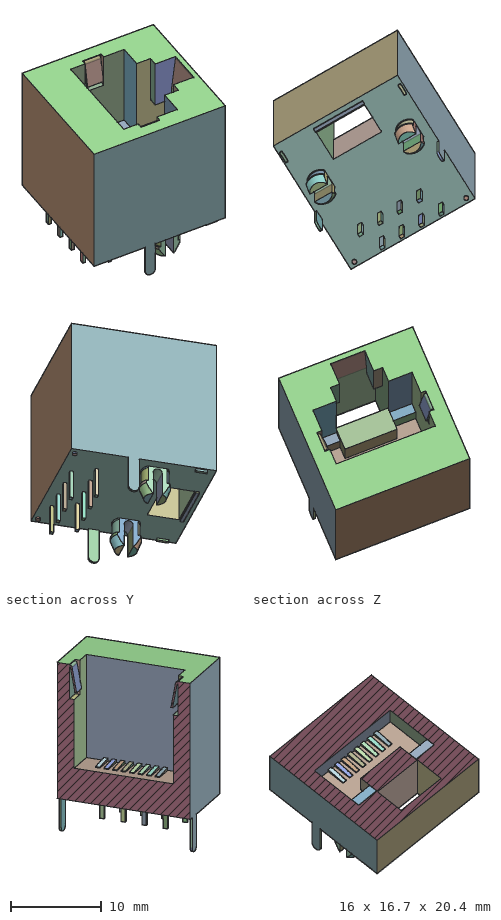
import cadquery as cq

WIDTH = 16.0
DEPTH = 16.7
HEIGHT = 16.24
TOTAL_HEIGHT = 20.45

CAVITY_WIDTH = 11.82
CAVITY_FRONT = -3.37
CAVITY_BACK = 3.44
CAVITY_DEPTH = 12.27
LEDGE_FRONT = 2.35
LEDGE_DEPTH = 10.22

CHANNEL_WIDTH = 6.22
CHANNEL_FRONT = 3.62
CHANNEL_BACK = 7.25
NECK_WIDTH = 4.07
NECK_FRONT = 5.17
NECK_DEPTH = 5.93
STOP_FRONT = 0.95
STOP_DEPTH = 9.2

LEAD_IN_BACK = 7.75
LEAD_IN_LIP = 0.2
LEAD_IN_DEPTH = 4.34

PIN_COUNT = 8
CONTACT_WIDTH = 0.51
CONTACT_PITCH = 1.02
CONTACT_LENGTH = 2.33
CONTACT_TIP_HEIGHT = 0.1
CONTACT_RISE = 0.22

NOTCH_SPAN = 12.97
NOTCH_FRONT = -1.53
NOTCH_BACK = 0.84
NOTCH_DEPTH = 4.1
SPRING_FRONT = -1.37
SPRING_BACK = 0.63
SPRING_TIP_SPAN = 11.25
SPRING_DROP = 0.08
SPRING_SHOULDER = 0.27
SPRING_LENGTH = 3.27
SPRING_BEND = 0.3
SHEET = 0.27

PIN_WIDTH = 0.51
PIN_THICKNESS = 0.37
PIN_LENGTH = 3.4
PIN_PITCH = 1.27
PIN_ROWS = (-7.0, -4.44)

LEG_WIDTH = 1.25
LEG_Y = -1.17
LEG_LENGTH = TOTAL_HEIGHT - HEIGHT

PEG_X = 5.7
PEG_Y = 1.92
PEG_FLATS = 2.25
PEG_LENGTH = 3.45
SHAFT_RADIUS = 1.55
ROOT_FLARE = 0.06
ROOT_HEIGHT = 0.16
BARB_RADIUS = 1.74
TIP_RADIUS = 1.25
BARB_START = 1.85
CONE_START = 2.19
PEG_SLOT = 1.02
PEG_SLOT_TOP = 0.18

FOOT_X = 7.2
FOOT_Y = -7.75
FOOT_RADIUS = 0.27
FOOT_HEIGHT = 0.2
TAB_X = 7.63
TAB_WIDTH = 0.33
TAB_FRONT = 6.03
TAB_BACK = 7.38
TAB_HEIGHT = 0.27
STRIP_LENGTH = 6.34
STRIP_BACK = 7.81
STRIP_HEIGHT = 0.18

OVERLAP = 0.1


def block(width, y_front, y_back, z_low, z_high, x_center=0.0):
    """Axis-aligned box given by its width and its Y and Z limits."""
    return (
        cq.Workplane("XY")
        .box(width, y_back - y_front, z_high - z_low, centered=(True, False, False))
        .translate((x_center, y_front, z_low))
    )


def from_top(width, y_front, y_back, depth):
    """Box sunk from the top face to the given depth."""
    return block(width, y_front, y_back, HEIGHT - depth, HEIGHT)


def both_sides(solid):
    return solid.union(solid.mirror("YZ"))


def extrude_along_x(outline, width):
    return outline.extrude(width / 2, both=True)


def housing():
    body = block(WIDTH, -DEPTH / 2, DEPTH / 2, 0, HEIGHT)
    body = body.cut(from_top(CAVITY_WIDTH, CAVITY_FRONT, LEDGE_FRONT, CAVITY_DEPTH))
    body = body.cut(from_top(CAVITY_WIDTH, CAVITY_FRONT, CAVITY_BACK, LEDGE_DEPTH))
    return body.cut(latch_channel()).union(latch_stop())


def latch_channel():
    wide = block(CHANNEL_WIDTH, CAVITY_FRONT, NECK_FRONT, HEIGHT - STOP_DEPTH, HEIGHT)
    through = block(CHANNEL_WIDTH, CHANNEL_FRONT, NECK_FRONT, 0, HEIGHT)
    below_neck = block(CHANNEL_WIDTH, CHANNEL_FRONT, CHANNEL_BACK, 0, HEIGHT - NECK_DEPTH)
    neck = from_top(NECK_WIDTH, CHANNEL_FRONT, CHANNEL_BACK, NECK_DEPTH)
    lead_in = extrude_along_x(
        cq.Workplane("YZ").polyline([
            (CHANNEL_BACK, HEIGHT),
            (LEAD_IN_BACK, HEIGHT),
            (LEAD_IN_BACK, HEIGHT - LEAD_IN_LIP),
            (CHANNEL_BACK, HEIGHT - LEAD_IN_DEPTH),
        ]).close(),
        NECK_WIDTH,
    )
    return wide.union(through).union(below_neck).union(neck).union(lead_in)


def latch_stop():
    """Block between the cavity and the channel that stops the plug."""
    return block(CHANNEL_WIDTH, STOP_FRONT, CHANNEL_FRONT, 0, HEIGHT - STOP_DEPTH)


def contacts():
    floor = HEIGHT - CAVITY_DEPTH
    profile = cq.Workplane("YZ").polyline([
        (CAVITY_FRONT - OVERLAP, floor - OVERLAP),
        (CAVITY_FRONT + CONTACT_LENGTH, floor - OVERLAP),
        (CAVITY_FRONT + CONTACT_LENGTH, floor + CONTACT_TIP_HEIGHT),
        (CAVITY_FRONT, floor + CONTACT_TIP_HEIGHT + CONTACT_RISE),
        (CAVITY_FRONT - OVERLAP, floor + CONTACT_TIP_HEIGHT + CONTACT_RISE),
    ]).close()
    contact = extrude_along_x(profile, CONTACT_WIDTH)
    group = cq.Workplane("XY")
    for index in range(PIN_COUNT):
        x = (index - (PIN_COUNT - 1) / 2) * CONTACT_PITCH
        group = group.union(contact.translate((x, 0, 0)))
    return group


def spring():
    """Sheet tongue that leaves the notch wall and slopes down into the cavity."""
    wall = NOTCH_SPAN / 2
    tip = SPRING_TIP_SPAN / 2
    top = HEIGHT - SPRING_DROP
    bottom = HEIGHT - SPRING_LENGTH
    shoulder = wall - SPRING_SHOULDER
    slope = (top - bottom) / (shoulder - tip)
    back_top = top - SHEET
    back_shoulder = tip + SHEET + (back_top - bottom) / slope
    bend_point = (shoulder, (SPRING_FRONT + SPRING_BACK) / 2, top)
    return (
        cq.Workplane("XZ", origin=(0, SPRING_BACK, 0))
        .polyline([
            (wall + OVERLAP, top),
            (shoulder, top),
            (tip, bottom),
            (tip + SHEET, bottom),
            (back_shoulder, back_top),
            (wall + OVERLAP, back_top),
        ])
        .close()
        .extrude(SPRING_BACK - SPRING_FRONT)
        .edges(cq.selectors.NearestToPointSelector(bend_point))
        .fillet(SPRING_BEND)
    )


def solder_pins():
    group = cq.Workplane("XY")
    for index in range(PIN_COUNT):
        x = (index - (PIN_COUNT - 1) / 2) * PIN_PITCH
        y = PIN_ROWS[index % 2]
        pin = block(
            PIN_WIDTH, y - PIN_THICKNESS / 2, y + PIN_THICKNESS / 2, -PIN_LENGTH, OVERLAP, x
        )
        group = group.union(pin)
    return group


def shield_leg():
    """Flat leg, flush with the side wall, with a round end."""
    radius = LEG_WIDTH / 2
    return (
        cq.Workplane("YZ", origin=(WIDTH / 2 - SHEET, 0, 0))
        .moveTo(LEG_Y - radius, OVERLAP)
        .lineTo(LEG_Y - radius, radius - LEG_LENGTH)
        .threePointArc((LEG_Y, -LEG_LENGTH), (LEG_Y + radius, radius - LEG_LENGTH))
        .lineTo(LEG_Y + radius, OVERLAP)
        .close()
        .extrude(SHEET)
    )


def peg():
    turned = (
        cq.Workplane("XZ")
        .polyline([
            (0, OVERLAP),
            (SHAFT_RADIUS + ROOT_FLARE, OVERLAP),
            (SHAFT_RADIUS + ROOT_FLARE, 0),
            (SHAFT_RADIUS, -ROOT_HEIGHT),
            (SHAFT_RADIUS, -BARB_START),
            (BARB_RADIUS, -BARB_START),
            (BARB_RADIUS, -CONE_START),
            (TIP_RADIUS, -PEG_LENGTH),
            (0, -PEG_LENGTH),
        ])
        .close()
        .revolve(360, (0, 0, 0), (0, 1, 0))
    )
    flattened = turned.intersect(
        block(PEG_FLATS, -BARB_RADIUS, BARB_RADIUS, -PEG_LENGTH, OVERLAP)
    )
    radius = PEG_SLOT / 2
    slot = extrude_along_x(
        cq.Workplane("YZ")
        .moveTo(-radius, -PEG_LENGTH)
        .lineTo(-radius, -PEG_SLOT_TOP - radius)
        .threePointArc((0, -PEG_SLOT_TOP), (radius, -PEG_SLOT_TOP - radius))
        .lineTo(radius, -PEG_LENGTH)
        .close(),
        PEG_FLATS,
    )
    return flattened.cut(slot).translate((PEG_X, PEG_Y, 0))


def underside_details():
    foot = (
        cq.Workplane("XY", origin=(FOOT_X, FOOT_Y, -FOOT_HEIGHT))
        .circle(FOOT_RADIUS)
        .extrude(FOOT_HEIGHT + OVERLAP)
    )
    tab = block(TAB_WIDTH, TAB_FRONT, TAB_BACK, -TAB_HEIGHT, OVERLAP, TAB_X)
    strip = block(STRIP_LENGTH, TAB_BACK, STRIP_BACK, -STRIP_HEIGHT, OVERLAP)
    return both_sides(foot.union(tab)).union(strip)


notches = from_top(NOTCH_SPAN, NOTCH_FRONT, NOTCH_BACK, NOTCH_DEPTH)

result = (
    housing()
    .cut(notches)
    .union(contacts())
    .union(both_sides(spring()))
    .union(solder_pins())
    .union(both_sides(shield_leg()))
    .union(both_sides(peg()))
    .union(underside_details())
)